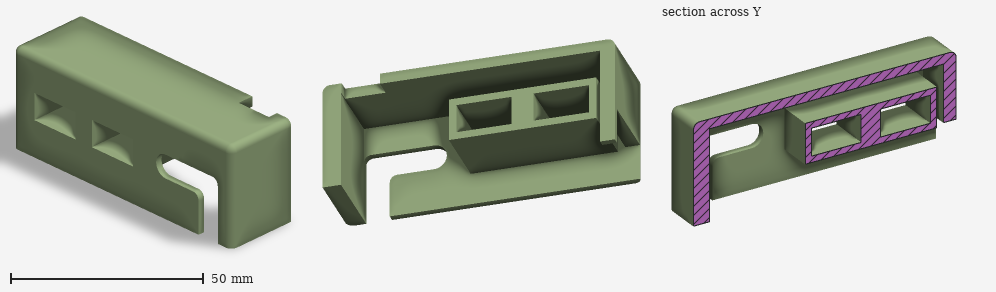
import cadquery as cq

length = 80.0
depth = 24.0
height = 30.0
edge_radius = 2.0

front_wall = 2.0
roof_wall = 3.0
left_wall = 4.0
right_wall = 5.0
right_wall_inset = 2.0

passage_height = 10.0
passage_front = edge_radius
leg_depth = 1.9
leg_clearance = 0.1

window_width = 15.0
window_height = 8.0
window_bottom = 11.0
window_starts = (8.0, 29.0)
housing_wall = 2.0
housing_back = 21.0

slot_width = 7.0
slot_top = window_bottom + window_height
slot_left = 52.5
slot_right = length - right_wall
slot_corner_radius = 2.0

notch_gap = 0.2
notch_width = 11.0
notch_depth = 5.0


def box(x0, x1, y0, y1, z0, z1):
    """Axis-aligned block between two opposite corners."""
    return cq.Workplane("XY").box(x1 - x0, y1 - y0, z1 - z0, centered=False).translate((x0, y0, z0))


def rounded_body():
    """Solid block with rounded front uprights and rounded front, left and right top edges."""
    body = box(0, length, 0, depth, 0, height)
    return body.edges("(|Z and <Y) or (>Z and (not >Y))").fillet(edge_radius)


def cavity():
    """Interior space behind the front wall and below the roof."""
    return box(left_wall, length - right_wall, front_wall, depth, 0, height - roof_wall)


def window_housing():
    """Block around both windows, joined to the front wall."""
    return box(
        window_starts[0] - housing_wall,
        window_starts[-1] + window_width + housing_wall,
        front_wall,
        housing_back,
        window_bottom - housing_wall,
        window_bottom + window_height + housing_wall,
    )


def window_tunnel(start):
    """Rectangular opening running from the front face through the housing."""
    top = window_bottom + window_height
    return box(start, start + window_width, 0, housing_back, window_bottom, top)


def cable_slot():
    """L-shaped opening with a round blind end, cut through the front wall."""
    end_radius = slot_width / 2
    slot_floor = slot_top - slot_width
    drop_left = slot_right - slot_width
    r = slot_corner_radius
    diagonal = r * (1 - 0.5 ** 0.5)
    outline = (
        cq.Workplane("XZ")
        .moveTo(slot_left + end_radius, slot_top)
        .lineTo(slot_right - r, slot_top)
        .threePointArc((slot_right - diagonal, slot_top - diagonal), (slot_right, slot_top - r))
        .lineTo(slot_right, 0)
        .lineTo(drop_left, 0)
        .lineTo(drop_left, slot_floor - r)
        .threePointArc((drop_left - diagonal, slot_floor - diagonal), (drop_left - r, slot_floor))
        .lineTo(slot_left + end_radius, slot_floor)
        .threePointArc((slot_left, slot_floor + end_radius), (slot_left + end_radius, slot_top))
        .close()
    )
    return outline.extrude(-front_wall)


def left_passage():
    """Opening at the foot of the left wall, with the leg behind it trimmed short."""
    leg_front = depth - leg_depth
    opening = box(0, left_wall, passage_front, leg_front, 0, passage_height)
    trim = box(0, left_wall, leg_front, depth, 0, leg_clearance)
    return opening.union(trim)


def back_cutouts():
    """Roof notch, and the set-back rear edge of the right wall and the roof above it."""
    notch_right = length - right_wall - notch_gap
    notch = box(notch_right - notch_width, notch_right, depth - notch_depth, depth, 0, height)
    inset = box(notch_right, length, depth - right_wall_inset, depth, 0, height)
    return notch.union(inset)


result = rounded_body().cut(cavity()).union(window_housing())
for window_start in window_starts:
    result = result.cut(window_tunnel(window_start))
result = result.cut(cable_slot()).cut(left_passage()).cut(back_cutouts())